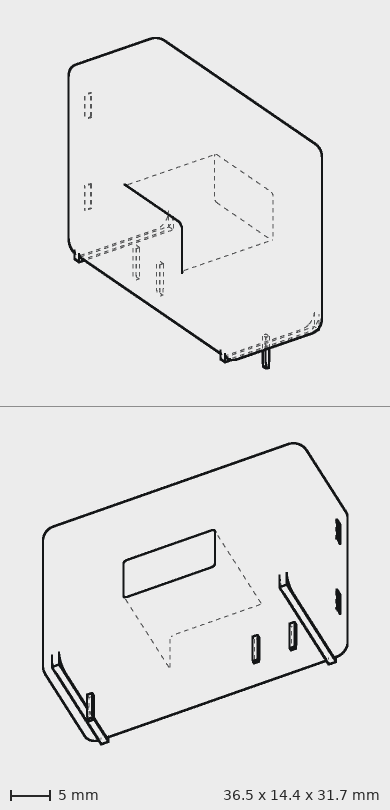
import cadquery as cq

WIDTH = 36.5
DEPTH = 14.45
HEIGHT = 27.2
CORNER_RADIUS = 1.97
FRONT_RADIUS = 1.0
BACK_RADIUS = CORNER_RADIUS

WINDOW_WIDTH = 12.7
WINDOW_HEIGHT = 6.9
WINDOW_CENTER_Z = 11.4
WINDOW_CORNER_RADIUS = 0.5
WINDOW_LIP_RADIUS = FRONT_RADIUS

BAR_WIDTH = 1.02
BAR_HEIGHT = 2.23
BAR_DROP = 0.22
BAR_X = WIDTH / 2 - CORNER_RADIUS - BAR_WIDTH / 2

PIN_WIDTH = 0.7
PIN_THICKNESS = 0.55
PIN_LENGTH = 4.5
PIN_OUTER_X = 14.0
PIN_INNER_X = -8.9
PIN_Y = 0.65
PIN_TIP_LENGTH = 1.0
PIN_TIP_TAPER = 0.07

RECESS_WIDTH = 1.0
RECESS_HEIGHT = 3.5
RECESS_DEPTH = 0.2
RECESS_Y = -3.85
RECESS_CENTER_Z = 13.25
RECESS_SPACING = 13.05


def make_housing():
    """Block with rounded corners and rounded front and back rims."""
    block = cq.Workplane("XY").box(WIDTH, DEPTH, HEIGHT, centered=(True, True, False))
    block = block.edges("|Y").fillet(CORNER_RADIUS)
    block = block.faces("<Y").edges().fillet(FRONT_RADIUS)
    return block.faces(">Y").edges().fillet(BACK_RADIUS)


def cut_window(body):
    """Rectangular opening along Y with a rounded front lip."""
    window = (
        cq.Workplane("XY")
        .box(WINDOW_WIDTH, DEPTH, WINDOW_HEIGHT)
        .edges("|Y")
        .fillet(WINDOW_CORNER_RADIUS)
        .translate((0, 0, WINDOW_CENTER_Z))
    )
    body = body.cut(window)
    rim = body.faces("<Y").edges(
        cq.selectors.BoxSelector(
            (-WINDOW_WIDTH, -DEPTH, WINDOW_CENTER_Z - WINDOW_HEIGHT),
            (WINDOW_WIDTH, 0, WINDOW_CENTER_Z + WINDOW_HEIGHT),
        )
    )
    return rim.fillet(WINDOW_LIP_RADIUS)


def cut_recesses(body):
    """Two shallow pockets, one above the other, in the -X side."""
    for side in (-1, 1):
        center_z = RECESS_CENTER_Z + side * RECESS_SPACING / 2
        pocket = cq.Workplane("XY").box(2 * RECESS_DEPTH, RECESS_WIDTH, RECESS_HEIGHT)
        body = body.cut(pocket.translate((-WIDTH / 2, RECESS_Y, center_z)))
    return body


def make_bar(x):
    """Standoff bar, flush with the front and back of the housing."""
    bar = cq.Workplane("XY").box(BAR_WIDTH, DEPTH, BAR_HEIGHT, centered=(True, True, False))
    return bar.translate((x, 0, -BAR_DROP))


def make_pin(x):
    """Flat pin below the housing, its tip tapered in thickness."""
    half = PIN_THICKNESS / 2
    tip_half = half - PIN_TIP_TAPER
    shoulder_z = -PIN_LENGTH + PIN_TIP_LENGTH
    profile = [
        (PIN_Y - half, 0),
        (PIN_Y - half, shoulder_z),
        (PIN_Y - tip_half, -PIN_LENGTH),
        (PIN_Y + tip_half, -PIN_LENGTH),
        (PIN_Y + half, shoulder_z),
        (PIN_Y + half, 0),
    ]
    pin = cq.Workplane("YZ").polyline(profile).close().extrude(PIN_WIDTH / 2, both=True)
    return pin.translate((x, 0, 0))


result = cut_recesses(cut_window(make_housing()))
for bar_x in (-BAR_X, BAR_X):
    result = result.union(make_bar(bar_x), clean=False)
for pin_x in (-PIN_OUTER_X, PIN_INNER_X, PIN_OUTER_X):
    result = result.union(make_pin(pin_x), clean=False)